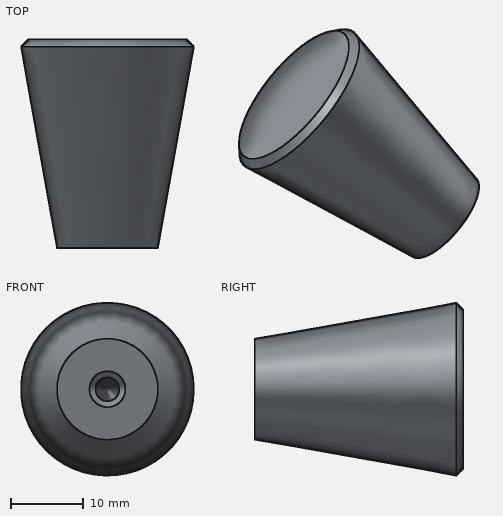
import cadquery as cq
import math

length = 29.0
wide_diameter = 24.0
narrow_diameter = 14.0
rim_chamfer = 1.02

hole_diameter = 3.3
hole_depth = 12.0
drill_point_angle = 118.0
countersink_diameter = 5.0
countersink_angle = 90.0


def cone_height(radial_change, included_angle):
    """Axial length of a cone that changes radius by the given amount."""
    return radial_change / math.tan(math.radians(included_angle / 2))


def make_body():
    wide_radius = wide_diameter / 2
    return (
        cq.Workplane("XY")
        .lineTo(narrow_diameter / 2, 0)
        .lineTo(wide_radius, length - rim_chamfer)
        .lineTo(wide_radius - rim_chamfer, length)
        .lineTo(0, length)
        .close()
        .revolve(360, (0, 0), (0, 1))
    )


def make_hole():
    hole_radius = hole_diameter / 2
    countersink_radius = countersink_diameter / 2
    countersink_depth = cone_height(countersink_radius - hole_radius, countersink_angle)
    tip_depth = hole_depth + cone_height(hole_radius, drill_point_angle)
    return (
        cq.Workplane("XY")
        .lineTo(countersink_radius, 0)
        .lineTo(hole_radius, countersink_depth)
        .lineTo(hole_radius, hole_depth)
        .lineTo(0, tip_depth)
        .close()
        .revolve(360, (0, 0), (0, 1))
    )


result = make_body().cut(make_hole())